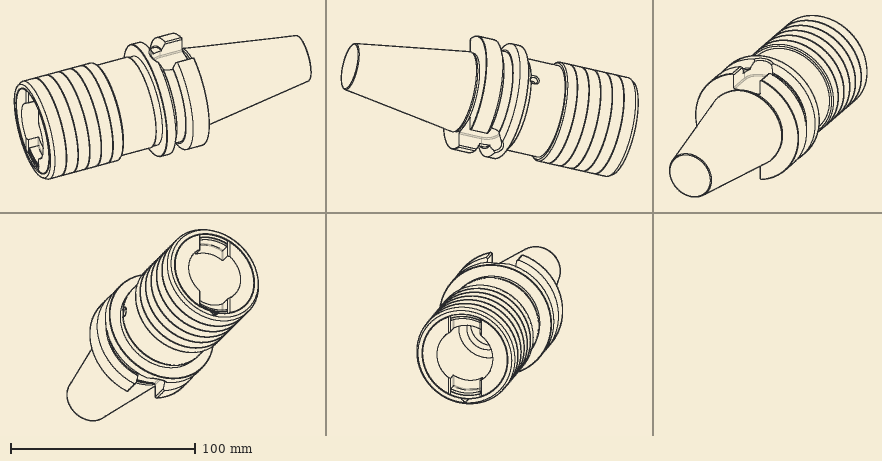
import cadquery as cq
import math

TOTAL_LENGTH = 158.4

SLEEVE_RADIUS = 27.5
SLEEVE_LENGTH = 42.6
SLEEVE_NOSE_CHAMFER_LENGTH = 2.0
SLEEVE_NOSE_CHAMFER_DEPTH = 1.3
SLEEVE_REAR_CHAMFER = 0.8
RING_GROOVE_COUNT = 5
RING_GROOVE_PITCH = 6.8
FIRST_RING_GROOVE_Y = 8.9
RING_GROOVE_WIDTH = 0.3
RING_GROOVE_DEPTH = 0.2

NECK_RADIUS = 25.5
NECK_END_Y = 62.3
RELIEF_RADIUS = 25.0

FLANGE_RADIUS = 31.5
FLANGE_FRONT_Y = 66.0
FLANGE_LENGTH = 25.0
FLANGE_REAR_Y = FLANGE_FRONT_Y + FLANGE_LENGTH
FLANGE_EDGE_CHAMFER = 0.3
FRONT_COLLAR_WIDTH = 5.2
REAR_COLLAR_WIDTH = 9.7
V_GROOVE_RADIUS = 26.6
V_GROOVE_FLANK = 2.4
V_GROOVE_FLANK_ANGLE = 60

GAUGE_RADIUS = 22.3
GAUGE_Y = 93.1
TAPER_RELIEF_RADIUS = 21.9
TAPER_RELIEF_FLANK = 1.0
TAPER_SLOPE = 7 / 48
TAPER_END_CHAMFER = 0.5

DRIVE_SLOT_HALF_WIDTH = 8.0
DRIVE_SLOT_FLOOR_Z = 21.4
DRIVE_SLOT_END_Y = 70.0
DRIVE_SLOT_CHAMFER = 1.0
DRIVE_SLOT_FLOOR_FILLET = 0.6

BORE_RADIUS = 15.7
BORE_DEPTH = 47.5
INNER_BORE_RADIUS = 11.1
INNER_BORE_DEPTH = 55.5

FACE_RING_RADIUS = 24.0
FACE_RING_WIDTH = 0.3
FACE_RING_DEPTH = 0.3

KEY_SLOT_HALF_WIDTH = 8.2
KEY_SLOT_DEPTH = 7.0
KEY_SLOT_CHAMFER = 1.0
KEY_SLOT_FLOOR_FILLET = 0.5
KEY_SLOT_OUTER_RADIUS = 21.2
KEY_SLOT_STEP_RADIUS = 22.5
KEY_SLOT_STEP_DEPTH = 1.6
KEY_SLOT_MOUTH_DEPTH = 0.8

NOTCH_HEIGHT = 2.0
NOTCH_TIP_Z = -FACE_RING_RADIUS - NOTCH_HEIGHT
NOTCH_SLOPE = 1.1

CROSS_HOLE_Y = 60.5
CROSS_HOLE_RADIUS = 2.0
CROSS_HOLE_MOUTH_RADIUS = 2.9
CROSS_HOLE_DEPTH = 4.0
CROSS_HOLE_CROWN_RADIUS = 4.3
CROSS_HOLE_OVERRUN = 1.6


def turned_body():
    """Sleeve, neck, flange and taper as one revolved profile."""
    front_flank_y = FLANGE_FRONT_Y + FRONT_COLLAR_WIDTH
    rear_flank_y = FLANGE_REAR_Y - REAR_COLLAR_WIDTH
    small_end_radius = GAUGE_RADIUS - (TOTAL_LENGTH - GAUGE_Y) * TAPER_SLOPE
    flank_foot_radius = FLANGE_RADIUS - V_GROOVE_FLANK * math.tan(math.radians(V_GROOVE_FLANK_ANGLE))
    profile = [
        (0, 0),
        (SLEEVE_RADIUS - SLEEVE_NOSE_CHAMFER_DEPTH, 0),
        (SLEEVE_RADIUS, SLEEVE_NOSE_CHAMFER_LENGTH),
        (SLEEVE_RADIUS, SLEEVE_LENGTH - SLEEVE_REAR_CHAMFER),
        (SLEEVE_RADIUS - SLEEVE_REAR_CHAMFER, SLEEVE_LENGTH),
        (NECK_RADIUS, SLEEVE_LENGTH),
        (NECK_RADIUS, NECK_END_Y),
        (RELIEF_RADIUS, NECK_END_Y),
        (RELIEF_RADIUS, FLANGE_FRONT_Y),
        (FLANGE_RADIUS - FLANGE_EDGE_CHAMFER, FLANGE_FRONT_Y),
        (FLANGE_RADIUS, FLANGE_FRONT_Y + FLANGE_EDGE_CHAMFER),
        (FLANGE_RADIUS, front_flank_y),
        (flank_foot_radius, front_flank_y + V_GROOVE_FLANK),
        (V_GROOVE_RADIUS, front_flank_y + V_GROOVE_FLANK),
        (V_GROOVE_RADIUS, rear_flank_y - V_GROOVE_FLANK),
        (flank_foot_radius, rear_flank_y - V_GROOVE_FLANK),
        (FLANGE_RADIUS, rear_flank_y),
        (FLANGE_RADIUS, FLANGE_REAR_Y - FLANGE_EDGE_CHAMFER),
        (FLANGE_RADIUS - FLANGE_EDGE_CHAMFER, FLANGE_REAR_Y),
        (TAPER_RELIEF_RADIUS, FLANGE_REAR_Y),
        (TAPER_RELIEF_RADIUS, GAUGE_Y - TAPER_RELIEF_FLANK),
        (GAUGE_RADIUS, GAUGE_Y),
        (small_end_radius + TAPER_END_CHAMFER * TAPER_SLOPE, TOTAL_LENGTH - TAPER_END_CHAMFER),
        (small_end_radius - TAPER_END_CHAMFER, TOTAL_LENGTH),
        (0, TOTAL_LENGTH),
    ]
    return cq.Workplane("XY").polyline(profile).close().revolve(360, (0, 0, 0), (0, 1, 0))


def disc(radius, start_y, end_y):
    """Cylinder on the spindle axis."""
    return cq.Workplane("XZ", origin=(0, start_y, 0)).circle(radius).extrude(start_y - end_y)


def ring(outer_radius, inner_radius, start_y, end_y):
    return disc(outer_radius, start_y, end_y).cut(disc(inner_radius, start_y, end_y))


def ring_grooves():
    grooves = cq.Workplane("XY")
    for index in range(RING_GROOVE_COUNT):
        start_y = FIRST_RING_GROOVE_Y + index * RING_GROOVE_PITCH - RING_GROOVE_WIDTH / 2
        floor_radius = SLEEVE_RADIUS - RING_GROOVE_DEPTH
        grooves = grooves.add(ring(FLANGE_RADIUS, floor_radius, start_y, start_y + RING_GROOVE_WIDTH))
    return grooves.combine()


def both_sides(tool):
    """The tool above the axis together with its copy below."""
    return tool.union(tool.mirror("XY"))


def drive_slots():
    """Round-ended slots, open toward the taper, with a fillet around the floor."""
    arc_y = DRIVE_SLOT_END_Y + DRIVE_SLOT_HALF_WIDTH
    slot = (
        cq.Workplane("XY", origin=(0, 0, DRIVE_SLOT_FLOOR_Z))
        .moveTo(-DRIVE_SLOT_HALF_WIDTH, FLANGE_REAR_Y)
        .lineTo(-DRIVE_SLOT_HALF_WIDTH, arc_y)
        .threePointArc((0, DRIVE_SLOT_END_Y), (DRIVE_SLOT_HALF_WIDTH, arc_y))
        .lineTo(DRIVE_SLOT_HALF_WIDTH, FLANGE_REAR_Y)
        .close()
        .extrude(FLANGE_RADIUS - DRIVE_SLOT_FLOOR_Z)
    )
    return both_sides(slot.faces("<Z").edges("not >Y").fillet(DRIVE_SLOT_FLOOR_FILLET))


def box_around(center_y, half_width, half_length, low_z, high_z):
    """Selector for edges whose centres lie in a box that is centred on x = 0."""
    return cq.selectors.BoxSelector(
        (-half_width, center_y - half_length, low_z),
        (half_width, center_y + half_length, high_z),
    )


def chamfer_drive_slots(body):
    """Break the slots' edges on the flange rim: straight on the rear collar, an arc on the front one."""
    half_width = DRIVE_SLOT_HALF_WIDTH + DRIVE_SLOT_CHAMFER
    lowest_rim_z = math.sqrt(FLANGE_RADIUS**2 - half_width**2)
    collar_middle_y = FLANGE_REAR_Y - REAR_COLLAR_WIDTH / 2
    for side in (1, -1):
        rim = (side * lowest_rim_z, side * FLANGE_RADIUS)
        straight_edges = box_around(collar_middle_y, half_width, DRIVE_SLOT_CHAMFER, *rim)
        end_arc = box_around(DRIVE_SLOT_END_Y, DRIVE_SLOT_CHAMFER, DRIVE_SLOT_CHAMFER, *rim)
        body = body.edges(straight_edges + end_arc).chamfer(DRIVE_SLOT_CHAMFER)
    return body


def key_slot_block(depth, outer_radius):
    """Block above the axis that reaches in from the nose face, with a round outer end."""
    width = 2 * KEY_SLOT_HALF_WIDTH
    block = cq.Workplane("XY").box(width, depth, FLANGE_RADIUS, centered=(True, False, False))
    return block.intersect(disc(outer_radius, 0, depth))


def key_slots():
    """Slots that widen outward in steps toward the nose face and have flared side edges."""
    slot = key_slot_block(KEY_SLOT_DEPTH, KEY_SLOT_OUTER_RADIUS)
    slot = slot.faces(">Y").edges("not <Z").fillet(KEY_SLOT_FLOOR_FILLET)
    slot = slot.union(key_slot_block(KEY_SLOT_STEP_DEPTH, KEY_SLOT_STEP_RADIUS))
    slot = slot.union(key_slot_block(KEY_SLOT_MOUTH_DEPTH, FACE_RING_RADIUS))
    mouth_half_width = KEY_SLOT_HALF_WIDTH + KEY_SLOT_CHAMFER
    flare = (
        cq.Workplane("XY")
        .polyline(
            [
                (-mouth_half_width, 0),
                (mouth_half_width, 0),
                (KEY_SLOT_HALF_WIDTH, KEY_SLOT_CHAMFER),
                (-KEY_SLOT_HALF_WIDTH, KEY_SLOT_CHAMFER),
            ]
        )
        .close()
        .extrude(FLANGE_RADIUS)
        .intersect(disc(FACE_RING_RADIUS, 0, KEY_SLOT_CHAMFER))
    )
    return both_sides(slot.union(flare))


def index_notch():
    """Cone about a Z axis in the nose face, widening toward the key slot."""
    cone = cq.Solid.makeCone(0, NOTCH_HEIGHT * NOTCH_SLOPE, NOTCH_HEIGHT, cq.Vector(0, 0, NOTCH_TIP_Z))
    return cq.Workplane(cone)


def cross_hole():
    """Countersunk hole on the -X side whose floor is a ridge running along Y."""
    mouth_x = -NECK_RADIUS
    hole = (
        cq.Workplane("YZ", origin=(mouth_x - CROSS_HOLE_OVERRUN, CROSS_HOLE_Y, 0))
        .circle(CROSS_HOLE_RADIUS)
        .extrude(CROSS_HOLE_OVERRUN + CROSS_HOLE_DEPTH + CROSS_HOLE_CROWN_RADIUS)
    )
    crown_x = mouth_x + CROSS_HOLE_DEPTH + CROSS_HOLE_CROWN_RADIUS
    crown = (
        cq.Workplane("XZ", origin=(crown_x, CROSS_HOLE_Y - CROSS_HOLE_MOUTH_RADIUS, 0))
        .circle(CROSS_HOLE_CROWN_RADIUS)
        .extrude(-2 * CROSS_HOLE_MOUTH_RADIUS)
    )
    mouth_depth = CROSS_HOLE_MOUTH_RADIUS - CROSS_HOLE_RADIUS
    mouth = cq.Solid.makeCone(
        CROSS_HOLE_MOUTH_RADIUS,
        CROSS_HOLE_RADIUS,
        mouth_depth,
        cq.Vector(mouth_x, CROSS_HOLE_Y, 0),
        cq.Vector(1, 0, 0),
    )
    return hole.cut(crown).union(cq.Workplane(mouth))


flanged_body = chamfer_drive_slots(turned_body().cut(drive_slots()))
result = (
    flanged_body.cut(ring_grooves())
    .cut(disc(BORE_RADIUS, 0, BORE_DEPTH))
    .cut(disc(INNER_BORE_RADIUS, 0, INNER_BORE_DEPTH))
    .cut(ring(FACE_RING_RADIUS, FACE_RING_RADIUS - FACE_RING_WIDTH, 0, FACE_RING_DEPTH))
    .cut(key_slots())
    .cut(index_notch())
    .cut(cross_hole())
)